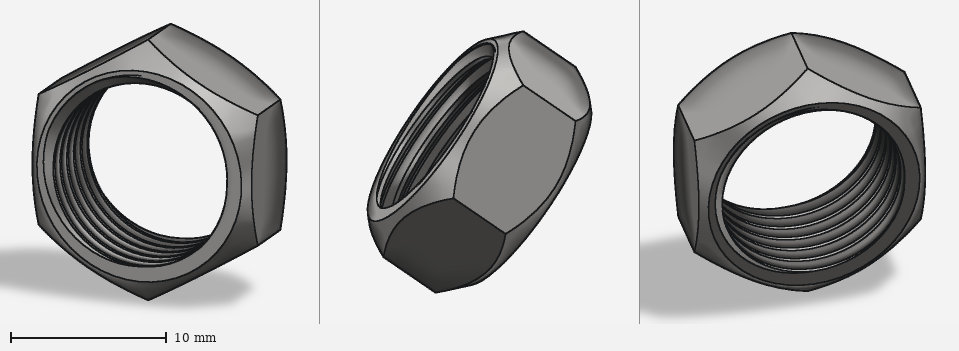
import cadquery as cq
import math

ACROSS_FLATS = 15.0
THICKNESS = 7.5
ACROSS_CORNERS = ACROSS_FLATS / math.cos(math.radians(30))

BEARING_RADIUS = 7.0
CORNER_CHAMFER = ACROSS_CORNERS / 2 - BEARING_RADIUS

BORE_RADIUS = 6.0
PITCH = 1.25
FLANK_ANGLE = math.radians(30)
CREST_WIDTH = PITCH / 4
ROOT_WIDTH = PITCH / 8
GROOVE_DEPTH = (PITCH - CREST_WIDTH - ROOT_WIDTH) / 2 / math.tan(FLANK_ANGLE)
MOUTH_WIDTH = PITCH - CREST_WIDTH

CUTTER_OVERLAP = 0.1


def chamfered_hexagon():
    """Hexagonal prism along Z whose corners are chamfered by a turned envelope."""
    prism = (
        cq.Workplane("XY")
        .polygon(6, ACROSS_CORNERS)
        .extrude(THICKNESS)
        .rotate((0, 0, 0), (0, 0, 1), 30)
    )
    corner_radius = ACROSS_CORNERS / 2
    envelope = (
        cq.Workplane("YZ")
        .moveTo(0, 0)
        .lineTo(BEARING_RADIUS, 0)
        .lineTo(corner_radius, CORNER_CHAMFER)
        .lineTo(corner_radius, THICKNESS - CORNER_CHAMFER)
        .lineTo(BEARING_RADIUS, THICKNESS)
        .lineTo(0, THICKNESS)
        .close()
        .revolve(360, (0, 0, 0), (0, 1, 0))
    )
    return prism.intersect(envelope)


def thread_groove():
    """Trapezoidal groove on a right-hand helix that starts and ends just clear of the end faces."""
    inner_radius = BORE_RADIUS - CUTTER_OVERLAP
    root_radius = BORE_RADIUS + GROOVE_DEPTH
    half_root = ROOT_WIDTH / 2
    half_inner = MOUTH_WIDTH / 2 + CUTTER_OVERLAP * math.tan(FLANK_ANGLE)

    helix = cq.Wire.makeHelix(PITCH, THICKNESS + MOUTH_WIDTH, BORE_RADIUS)
    groove = (
        cq.Workplane("XZ")
        .polyline(
            [
                (inner_radius, -half_inner),
                (root_radius, -half_root),
                (root_radius, half_root),
                (inner_radius, half_inner),
            ]
        )
        .close()
        .sweep(cq.Workplane(helix), isFrenet=True)
    )
    return groove.translate((0, 0, -MOUTH_WIDTH / 2))


def turned_to_thread_start(cutter):
    """Quarter turn that brings the thread start to +Y, the side that ends up at -Z."""
    return cutter.rotate((0, 0, 0), (0, 0, 1), 90)


bore = cq.Workplane("XY").circle(BORE_RADIUS).extrude(THICKNESS)
nut = (
    chamfered_hexagon()
    .cut(turned_to_thread_start(bore))
    .cut(turned_to_thread_start(thread_groove()))
)

result = nut.rotate((0, 0, 0), (1, 0, 0), -90)